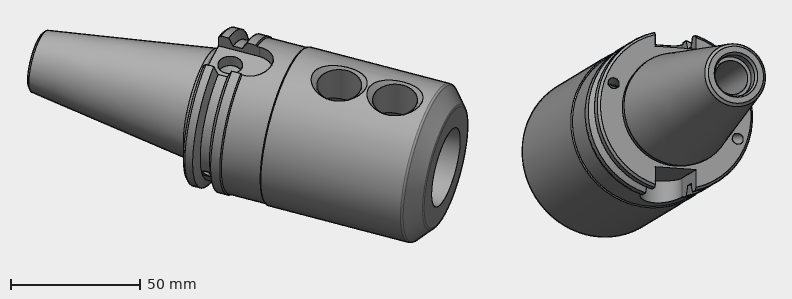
import cadquery as cq
import math


GAUGE_DIA = 44.45
TAPER_RATE = 7 / 24
TAPER_LENGTH = 68.25
TAIL_CHAMFER = 1.0
NECK_DIA = 43.6
NECK_START_X = 1.5

FLANGE_DIA = 63.5
FLANGE_FACE_X = 3.18
FLANGE_END_X = 19.05
FLANGE_FACE_CHAMFER = 1.0
FLANGE_END_CHAMFER = 0.5
GROOVE_CENTER_X = 11.1
GROOVE_ROOT_DIA = 56.36
GROOVE_ROOT_WIDTH = 3.8
GROOVE_MOUTH_WIDTH = 7.4

COLLAR_DIA = 62.5
COLLAR_END_X = 35.0
BODY_DIA = 63.5
BODY_END_X = 100.0
NOSE_CHAMFER_LENGTH = 6.4
NOSE_CHAMFER_HEIGHT = 7.0
NOSE_ROUND = 1.3

TOOL_BORE_DIA = 31.75
TOOL_BORE_DEPTH = 65.0
DRAWBAR_DIA = 13.39
PILOT_DIA = 16.3
PILOT_DEPTH = 5.5
PILOT_MOUTH_DIA = 17.8
PILOT_MOUTH_DEPTH = 1.5

SLOT_WIDTH = 16.6
SLOT_END_X = 28.3
UPPER_SLOT_FLOOR = 25.0
LOWER_SLOT_FLOOR = 22.6
DIMPLE_DIA = 9.53
DIMPLE_DEPTH = 5.0
DRILL_POINT_ANGLE = 118.0

SCREW_DIA = 17.32
SCREW_MOUTH_DIA = 22.0
SCREW_XS = (56.0, 79.0)

COOLANT_CIRCLE_DIA = 54.0
COOLANT_ANGLES = (20.0, 200.0)
COOLANT_TILT = 20.0
COOLANT_FACE_DIA = 4.2
CROSS_DIA = 3.24
CROSS_MOUTH_DIA = 4.0


def x_cylinder(diameter, start_x, end_x):
    """Cylinder on the tool axis."""
    return cq.Workplane("YZ", origin=(start_x, 0, 0)).circle(diameter / 2).extrude(end_x - start_x)


def x_cone(start_dia, end_dia, start_x, end_x):
    """Truncated cone on the tool axis."""
    cone = cq.Solid.makeCone(
        start_dia / 2, end_dia / 2, end_x - start_x, cq.Vector(start_x, 0, 0), cq.Vector(1, 0, 0)
    )
    return cq.Workplane(obj=cone)


def drill_tip_length(diameter):
    return diameter / 2 / math.tan(math.radians(DRILL_POINT_ANGLE / 2))


def make_outer_form():
    """Revolve the shank, grooved flange and body as one profile."""
    gauge_r = GAUGE_DIA / 2
    tail_r = gauge_r - TAPER_LENGTH * TAPER_RATE / 2
    neck_r = NECK_DIA / 2
    flange_r = FLANGE_DIA / 2
    root_r = GROOVE_ROOT_DIA / 2
    collar_r = COLLAR_DIA / 2
    body_r = BODY_DIA / 2
    step = body_r - collar_r
    half_root = GROOVE_ROOT_WIDTH / 2
    half_mouth = GROOVE_MOUTH_WIDTH / 2
    profile = [
        (-TAPER_LENGTH, 0),
        (-TAPER_LENGTH, tail_r - TAIL_CHAMFER),
        (-TAPER_LENGTH + TAIL_CHAMFER, tail_r + TAIL_CHAMFER * TAPER_RATE / 2),
        (0, gauge_r),
        (NECK_START_X, neck_r),
        (FLANGE_FACE_X, neck_r),
        (FLANGE_FACE_X, flange_r - FLANGE_FACE_CHAMFER),
        (FLANGE_FACE_X + FLANGE_FACE_CHAMFER, flange_r),
        (GROOVE_CENTER_X - half_mouth, flange_r),
        (GROOVE_CENTER_X - half_root, root_r),
        (GROOVE_CENTER_X + half_root, root_r),
        (GROOVE_CENTER_X + half_mouth, flange_r),
        (FLANGE_END_X - FLANGE_END_CHAMFER, flange_r),
        (FLANGE_END_X, collar_r),
        (COLLAR_END_X, collar_r),
        (COLLAR_END_X + step, body_r),
        (BODY_END_X - NOSE_CHAMFER_LENGTH, body_r),
        (BODY_END_X, body_r - NOSE_CHAMFER_HEIGHT),
        (BODY_END_X, 0),
    ]
    form = cq.Workplane("XY").polyline(profile).close().revolve(360, (0, 0, 0), (1, 0, 0))
    zone_start = (BODY_END_X - NOSE_CHAMFER_LENGTH - NOSE_ROUND, -BODY_DIA, -BODY_DIA)
    zone_end = (BODY_END_X + NOSE_ROUND, BODY_DIA, BODY_DIA)
    nose_zone = cq.selectors.BoxSelector(zone_start, zone_end, True)
    return form.edges("%CIRCLE").edges(nose_zone).fillet(NOSE_ROUND)


def make_axial_bores():
    """Tool bore from the nose, drawbar hole and pilot from the tail."""
    tool_bore = x_cylinder(TOOL_BORE_DIA, BODY_END_X - TOOL_BORE_DEPTH, BODY_END_X)
    drawbar = x_cylinder(DRAWBAR_DIA, -TAPER_LENGTH, BODY_END_X)
    pilot = x_cylinder(PILOT_DIA, -TAPER_LENGTH, -TAPER_LENGTH + PILOT_DEPTH)
    mouth = x_cone(PILOT_MOUTH_DIA, PILOT_DIA, -TAPER_LENGTH, -TAPER_LENGTH + PILOT_MOUTH_DEPTH)
    return tool_bore.union(drawbar).union(pilot).union(mouth)


def make_drive_slot(floor, side):
    """Round-ended slot open toward the taper; side is +1 for +Z and -1 for -Z."""
    arc_x = SLOT_END_X - SLOT_WIDTH / 2
    half_width = SLOT_WIDTH / 2
    return (
        cq.Workplane("XY", origin=(0, 0, side * floor))
        .moveTo(0, -half_width)
        .lineTo(arc_x, -half_width)
        .threePointArc((SLOT_END_X, 0), (arc_x, half_width))
        .lineTo(0, half_width)
        .close()
        .extrude(side * FLANGE_DIA / 2)
    )


def make_dimple():
    """Drilled blind hole in the floor of the upper slot."""
    radius = DIMPLE_DIA / 2
    shoulder = UPPER_SLOT_FLOOR - DIMPLE_DEPTH
    tip = shoulder - drill_tip_length(DIMPLE_DIA)
    return (
        cq.Workplane("XZ")
        .polyline([(0, tip), (radius, shoulder), (radius, UPPER_SLOT_FLOOR), (0, UPPER_SLOT_FLOOR)])
        .close()
        .revolve(360, (0, 0, 0), (0, 1, 0))
        .translate((GROOVE_CENTER_X, 0, 0))
    )


def make_screw_hole(x):
    """Radial screw hole into the tool bore with a 45 degree countersink."""
    radius = SCREW_DIA / 2
    mouth_r = SCREW_MOUTH_DIA / 2
    body_r = BODY_DIA / 2
    seat_z = body_r - (mouth_r - radius)
    return (
        cq.Workplane("XZ")
        .polyline([(0, 0), (radius, 0), (radius, seat_z), (mouth_r, body_r), (0, body_r)])
        .close()
        .revolve(360, (0, 0, 0), (0, 1, 0))
        .translate((x, 0, 0))
    )


def make_coolant_hole(angle):
    """Hole tilted inward from the flange face, meeting a radial hole from the groove to the axis."""
    pivot = (FLANGE_FACE_X, COOLANT_CIRCLE_DIA / 2, 0)
    tilt_axis_end = (pivot[0], pivot[1], -1)
    feed_length = (GROOVE_CENTER_X - FLANGE_FACE_X) / math.cos(math.radians(COOLANT_TILT))
    start_x = FLANGE_FACE_X - COOLANT_FACE_DIA / 2
    face_hole = x_cylinder(COOLANT_FACE_DIA, start_x, FLANGE_FACE_X + feed_length)
    face_hole = face_hole.translate((0, pivot[1], 0)).rotate(pivot, tilt_axis_end, COOLANT_TILT)
    radius = CROSS_DIA / 2
    mouth_r = CROSS_MOUTH_DIA / 2
    root_r = GROOVE_ROOT_DIA / 2
    seat_y = root_r - (mouth_r - radius)
    cross_hole = (
        cq.Workplane("XY")
        .polyline([(0, 0), (radius, 0), (radius, seat_y), (mouth_r, root_r), (0, root_r)])
        .close()
        .revolve(360, (0, 0, 0), (0, 1, 0))
        .translate((GROOVE_CENTER_X, 0, 0))
    )
    return face_hole.union(cross_hole).rotate((0, 0, 0), (1, 0, 0), angle)


result = make_outer_form().cut(make_axial_bores())
result = result.cut(make_drive_slot(UPPER_SLOT_FLOOR, 1))
result = result.cut(make_drive_slot(LOWER_SLOT_FLOOR, -1))
result = result.cut(make_dimple())
for screw_x in SCREW_XS:
    result = result.cut(make_screw_hole(screw_x))
for coolant_angle in COOLANT_ANGLES:
    result = result.cut(make_coolant_hole(coolant_angle))